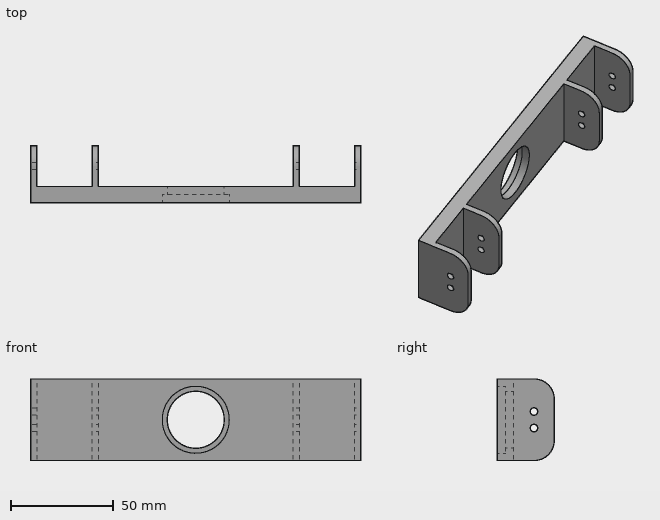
import cadquery as cq

length = 161.0
depth = 28.0
height = 40.0

plate_thickness = 8.0
tab_thickness = 3.0
inner_tab_offset = 30.0
tab_corner_radius = 10.0

bore_diameter = 27.7
counterbore_diameter = 32.7
counterbore_depth = plate_thickness / 2

pin_diameter = 3.5
pin_spacing = 8.0
pin_y = depth - tab_corner_radius


def make_plate():
    """Plate with its front face on Y = 0, centred on X and Z."""
    return cq.Workplane("XY").box(length, plate_thickness, height, centered=(True, False, True))


def make_tab(x_start):
    """Full-depth tab with rounded rear corners, starting at x_start."""
    tab = cq.Workplane("XY").box(tab_thickness, depth, height, centered=(False, False, True))
    tab = tab.edges("|X and >Y").fillet(tab_corner_radius)
    return tab.translate((x_start, 0, 0))


def make_opening():
    """Cutter for the bore and its counterbore in the front face."""
    bore = cq.Workplane("XZ").circle(bore_diameter / 2).extrude(-plate_thickness)
    counterbore = cq.Workplane("XZ").circle(counterbore_diameter / 2).extrude(-counterbore_depth)
    return bore.union(counterbore)


def make_pin_holes():
    """Cutter for the two pin holes running along the whole part."""
    return (
        cq.Workplane("YZ")
        .pushPoints([(pin_y, -pin_spacing / 2), (pin_y, pin_spacing / 2)])
        .circle(pin_diameter / 2)
        .extrude(length / 2, both=True)
    )


result = make_plate()
for end_offset in (0, inner_tab_offset):
    left_start = -length / 2 + end_offset
    right_start = length / 2 - end_offset - tab_thickness
    result = result.union(make_tab(left_start)).union(make_tab(right_start))
result = result.cut(make_opening()).cut(make_pin_holes())